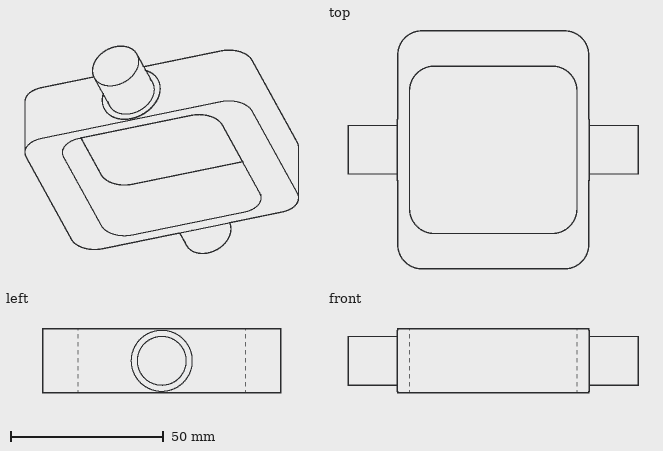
import cadquery as cq

frame_length_x = 62.6
frame_length_y = 78.0
frame_height = 21.0
frame_corner_radius = 8.0

window_side = 54.7
window_corner_radius = 8.0

overall_length_x = 95.0
pin_diameter = 16.0
shoulder_diameter = 20.0
shoulder_thickness = 0.2


def rounded_block(length_x, length_y, height, corner_radius):
    """Block centred on the origin with its vertical edges rounded."""
    return cq.Workplane("XY").box(length_x, length_y, height).edges("|Z").fillet(corner_radius)


def make_frame():
    """Rounded outer block with the rounded window cut right through."""
    outer = rounded_block(frame_length_x, frame_length_y, frame_height, frame_corner_radius)
    window = rounded_block(window_side, window_side, frame_height, window_corner_radius)
    return outer.cut(window)


def x_cylinder(diameter, start_x, end_x):
    """Cylinder along the X axis from start_x to end_x."""
    return cq.Workplane("YZ", origin=(start_x, 0, 0)).circle(diameter / 2).extrude(end_x - start_x)


def make_trunnion():
    """Shoulder and pin on the +X side, rooted in the middle of the frame wall."""
    root_x = (frame_length_x + window_side) / 4
    shoulder_face_x = frame_length_x / 2 + shoulder_thickness
    shoulder = x_cylinder(shoulder_diameter, root_x, shoulder_face_x)
    pin = x_cylinder(pin_diameter, root_x, overall_length_x / 2)
    return shoulder.union(pin)


trunnion = make_trunnion()
result = make_frame().union(trunnion).union(trunnion.mirror("YZ"))